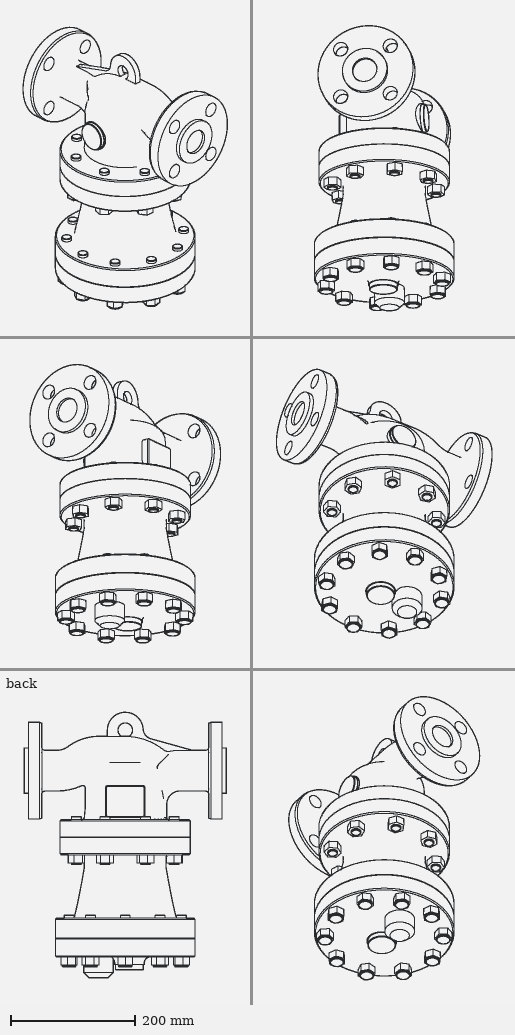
import cadquery as cq
import math


QUARTER_ARC_INSET = 1 - math.sqrt(0.5)

FACE_TO_FACE = 325.0
PIPE_DIAMETER = 66.0
PIPE_FLANGE_DIAMETER = 156.0
PIPE_FLANGE_THICKNESS = 21.7
PIPE_FLANGE_EDGE_LENGTH = 4.0
PIPE_FLANGE_EDGE_DEPTH = 1.5
RAISED_FACE_DIAMETER = 73.0
RAISED_FACE_HEIGHT = 6.8
PORT_DIAMETER = 40.0
PORT_DEPTH = 5.0
HUB_FILLET = 5.0
PIPE_BOLT_HOLE = 23.0
PIPE_BOLT_CIRCLE = 115.0
PIPE_BOLT_COUNT = 4
PIPE_BOLT_START = 45.0
PIPE_RADIUS = PIPE_DIAMETER / 2
HALF_LENGTH = FACE_TO_FACE / 2
FLANGE_FRONT_X = HALF_LENGTH - RAISED_FACE_HEIGHT
FLANGE_BACK_X = FLANGE_FRONT_X - PIPE_FLANGE_THICKNESS

ELBOW_START_X = -87.5
ELBOW_RADIUS = 53.5

BRIDGE_HEIGHT = 22.5
BRIDGE_RADIUS = 66.0
BRIDGE_ANGLE = 45.0
BRIDGE_STRAIGHT_END_X = 41.5
OUTLET_STRAIGHT_X = 109.5
OUTLET_BEND_RADIUS = 62.0

UPPER_FLANGE_TOP = -78.6
COVER_RADIUS = 64.4
COVER_EMBEDDING = 10.0
DOME_RADIUS = 20.5
DOME_TOP = 13.0
COVER_CYLINDER_BOTTOM = -58.0
NECK_DIAMETER = 132.0
ROOT_FILLET_HEIGHT = 3.0
ROOT_FILLET_WIDTH = 5.0
DOME_PIPE_FILLET = 4.0
ELBOW_BRIDGE_FILLET = 12.0
SELECTION_MARGIN = 0.1

UPPER_FLANGE_DIAMETER = 210.0
UPPER_FLANGE_BOTTOM = -135.5
UPPER_JOINT_Z = -107.0
UPPER_GASKET_DIAMETER = 150.0
UPPER_JOINT_GAP = 0.6
UPPER_BOLT_CIRCLE = 170.0
UPPER_BOLT_COUNT = 8
UPPER_BOLT_START = 22.5
UPPER_NUT_TURN = -7.5
LOWER_FLANGE_DIAMETER = 225.0
LOWER_FLANGE_TOP = -237.2
LOWER_FLANGE_BOTTOM = -299.6
LOWER_JOINT_Z = -269.8
LOWER_GASKET_DIAMETER = 162.5
LOWER_JOINT_GAP = 1.2
LOWER_BOLT_CIRCLE = 190.0
LOWER_BOLT_COUNT = 10
LOWER_BOLT_START = 90.0
BODY_FLANGE_EDGE = 2.0
BOLT_DIAMETER = 16.0
BOLT_END_ABOVE = 5.0
BOLT_END_BELOW = 15.5
BOLT_END_CHAMFER = 1.0
NUT_CORNER_DIAMETER = 27.7
NUT_FACE_DIAMETER = 22.2
NUT_HEIGHT = 13.0
LOWER_NUT_CHAMFER = 2.7

HOUSING_CYLINDER_BOTTOM = -156.0
HOUSING_CURVE_BOTTOM = -216.0
HOUSING_CURVE_RADIUS = 77.4
HOUSING_CURVE_SAG = 0.3
HOUSING_FOOT_DIAMETER = 162.5

PLUG_BOSS_DIAMETER = 48.0
PLUG_DIAMETER = 45.0
PLUG_CHAMFER = 1.0
SIDE_PLUG_X = -5.5
SIDE_PLUG_Z = -30.8
SIDE_BOSS_Y = -64.5
SIDE_PLUG_Y = -70.5
REAR_PAD_WIDTH = 64.0
REAR_PAD_TOP = -24.0
REAR_PAD_BOTTOM = -75.0
REAR_PAD_Y = 68.0
REAR_PAD_CORNER = 4.0
REAR_PAD_CHAMFER = 1.5

BOTTOM_PLUG_X = -6.8
BOTTOM_BOSS_Z = -312.0
BOTTOM_PLUG_Z = -320.5
BOTTOM_BOSS_FILLET = 9.5
DRAIN_X = 43.0
DRAIN_DIAMETER = 48.0
DRAIN_BOTTOM = -332.96
DRAIN_CHAMFER = 8.5

LUG_THICKNESS = 10.0
LUG_RADIUS = 29.0
LUG_HOLE_DIAMETER = 23.0
LUG_HOLE_Z = 65.0
LUG_START_X = -107.5
LUG_SLOPE = 15.5
LUG_CONCAVE_RADIUS = 17.0


def disc(diameter, bottom, top):
    """Upright cylinder on the body axis."""
    return cq.Workplane("XY").workplane(offset=bottom).circle(diameter / 2).extrude(top - bottom)


def pipe_flange():
    """Flange at the +X end with raised face, blind port, bolt holes and filleted hub."""
    hub_x = FLANGE_BACK_X - HUB_FILLET
    hub_middle = HUB_FILLET * QUARTER_ARC_INSET
    rim = PIPE_FLANGE_DIAMETER / 2
    face = RAISED_FACE_DIAMETER / 2
    port = PORT_DIAMETER / 2
    flange = (
        cq.Workplane("XY")
        .moveTo(hub_x, 0)
        .lineTo(hub_x, PIPE_RADIUS)
        .threePointArc(
            (FLANGE_BACK_X - hub_middle, PIPE_RADIUS + hub_middle),
            (FLANGE_BACK_X, PIPE_RADIUS + HUB_FILLET),
        )
        .lineTo(FLANGE_BACK_X, rim - PIPE_FLANGE_EDGE_DEPTH)
        .lineTo(FLANGE_BACK_X + PIPE_FLANGE_EDGE_LENGTH, rim)
        .lineTo(FLANGE_FRONT_X, rim)
        .lineTo(FLANGE_FRONT_X, face)
        .lineTo(HALF_LENGTH, face)
        .lineTo(HALF_LENGTH, port)
        .lineTo(HALF_LENGTH - PORT_DEPTH, port)
        .lineTo(HALF_LENGTH - PORT_DEPTH, 0)
        .close()
        .revolve(360, (0, 0, 0), (1, 0, 0))
    )
    holes = (
        cq.Workplane("YZ")
        .workplane(offset=FLANGE_BACK_X)
        .polarArray(PIPE_BOLT_CIRCLE / 2, PIPE_BOLT_START, 360, PIPE_BOLT_COUNT)
        .circle(PIPE_BOLT_HOLE / 2)
        .extrude(PIPE_FLANGE_THICKNESS)
    )
    return flange.cut(holes)


def inlet():
    """Straight inlet pipe and the elbow turning down into the cover."""
    pipe_start_x = -FLANGE_BACK_X - HUB_FILLET
    turn = ELBOW_RADIUS * math.sqrt(0.5)
    path = (
        cq.Workplane("XZ")
        .moveTo(pipe_start_x, 0)
        .lineTo(ELBOW_START_X, 0)
        .threePointArc(
            (ELBOW_START_X + turn, turn - ELBOW_RADIUS),
            (ELBOW_START_X + ELBOW_RADIUS, -ELBOW_RADIUS),
        )
        .lineTo(ELBOW_START_X + ELBOW_RADIUS, UPPER_FLANGE_TOP - COVER_EMBEDDING / 2)
    )
    return cq.Workplane("YZ").workplane(offset=pipe_start_x).circle(PIPE_RADIUS).sweep(path)


def outlet():
    """Outlet pipe: S-bend up from the outlet axis, then over the dome and down into the inlet elbow."""
    pipe_end_x = FLANGE_BACK_X + HUB_FILLET
    run = OUTLET_STRAIGHT_X - BRIDGE_STRAIGHT_END_X
    bend_angle = 2 * math.atan2(BRIDGE_HEIGHT, run)
    upper_radius = run / math.sin(bend_angle) - OUTLET_BEND_RADIUS
    bend_end = (
        OUTLET_STRAIGHT_X - OUTLET_BEND_RADIUS * math.sin(bend_angle),
        OUTLET_BEND_RADIUS * (1 - math.cos(bend_angle)),
    )
    half_sine = math.sin(bend_angle / 2)
    half_rise = 1 - math.cos(bend_angle / 2)
    lower_middle = (OUTLET_STRAIGHT_X - OUTLET_BEND_RADIUS * half_sine, OUTLET_BEND_RADIUS * half_rise)
    upper_middle = (
        BRIDGE_STRAIGHT_END_X + upper_radius * half_sine,
        BRIDGE_HEIGHT - upper_radius * half_rise,
    )
    end = math.radians(BRIDGE_ANGLE)

    def bridge_point(angle):
        return (
            -BRIDGE_RADIUS * math.sin(angle),
            BRIDGE_HEIGHT - BRIDGE_RADIUS * (1 - math.cos(angle)),
        )

    path = (
        cq.Workplane("XZ")
        .moveTo(pipe_end_x, 0)
        .lineTo(OUTLET_STRAIGHT_X, 0)
        .threePointArc(lower_middle, bend_end)
        .threePointArc(upper_middle, (BRIDGE_STRAIGHT_END_X, BRIDGE_HEIGHT))
        .lineTo(0, BRIDGE_HEIGHT)
        .threePointArc(bridge_point(end / 2), bridge_point(end))
    )
    return cq.Workplane("YZ").workplane(offset=pipe_end_x).circle(PIPE_RADIUS).sweep(path)


def cover():
    """Domed cover with a flaring foot."""
    neck = NECK_DIAMETER / 2
    root_top = UPPER_FLANGE_TOP + ROOT_FILLET_HEIGHT
    dome_turn = DOME_RADIUS * math.sqrt(0.5)
    shoulder_z = DOME_TOP - DOME_RADIUS
    return (
        cq.Workplane("XZ")
        .moveTo(0, UPPER_FLANGE_TOP - COVER_EMBEDDING)
        .lineTo(neck + ROOT_FILLET_WIDTH, UPPER_FLANGE_TOP - COVER_EMBEDDING)
        .lineTo(neck + ROOT_FILLET_WIDTH, UPPER_FLANGE_TOP)
        .threePointArc(
            (
                neck + ROOT_FILLET_WIDTH * QUARTER_ARC_INSET,
                UPPER_FLANGE_TOP + ROOT_FILLET_HEIGHT * QUARTER_ARC_INSET,
            ),
            (neck, root_top),
        )
        .lineTo(COVER_RADIUS, COVER_CYLINDER_BOTTOM)
        .lineTo(COVER_RADIUS, shoulder_z)
        .threePointArc(
            (COVER_RADIUS - DOME_RADIUS + dome_turn, shoulder_z + dome_turn),
            (COVER_RADIUS - DOME_RADIUS, DOME_TOP),
        )
        .lineTo(0, DOME_TOP)
        .close()
        .revolve()
    )


def blended_head():
    """Cover joined to the pipe line, with fillets where the pipes meet each other and the dome."""
    pipes = inlet().union(outlet())
    crease_left_x = ELBOW_START_X + ELBOW_RADIUS - PIPE_DIAMETER
    crease = cq.selectors.BoxSelector(
        (crease_left_x, -PIPE_RADIUS, BRIDGE_HEIGHT),
        (-PIPE_RADIUS, PIPE_RADIUS, PIPE_RADIUS),
    )
    pipes = pipes.edges("%BSPLINE").edges(crease).fillet(ELBOW_BRIDGE_FILLET)
    head = cover().union(pipes)
    dome_seam = cq.selectors.BoxSelector(
        (-COVER_RADIUS, -COVER_RADIUS, DOME_TOP - DOME_RADIUS),
        (COVER_RADIUS, COVER_RADIUS, DOME_TOP + SELECTION_MARGIN),
    )
    return head.edges("not %CIRCLE").edges(dome_seam).fillet(DOME_PIPE_FILLET)


def housing():
    """Flared housing between the upper and lower flanged joints."""
    neck = NECK_DIAMETER / 2
    foot = HOUSING_FOOT_DIAMETER / 2
    top_root = UPPER_FLANGE_BOTTOM - ROOT_FILLET_WIDTH
    foot_root = LOWER_FLANGE_TOP + ROOT_FILLET_WIDTH
    blend = ROOT_FILLET_WIDTH * QUARTER_ARC_INSET
    return (
        cq.Workplane("XZ")
        .moveTo(0, UPPER_FLANGE_BOTTOM)
        .lineTo(neck + ROOT_FILLET_WIDTH, UPPER_FLANGE_BOTTOM)
        .threePointArc((neck + blend, UPPER_FLANGE_BOTTOM - blend), (neck, top_root))
        .lineTo(neck, HOUSING_CYLINDER_BOTTOM)
        .threePointArc(
            (
                (neck + HOUSING_CURVE_RADIUS) / 2 - HOUSING_CURVE_SAG,
                (HOUSING_CYLINDER_BOTTOM + HOUSING_CURVE_BOTTOM) / 2,
            ),
            (HOUSING_CURVE_RADIUS, HOUSING_CURVE_BOTTOM),
        )
        .lineTo(foot, foot_root)
        .threePointArc(
            (foot + blend, LOWER_FLANGE_TOP + blend),
            (foot + ROOT_FILLET_WIDTH, LOWER_FLANGE_TOP),
        )
        .lineTo(0, LOWER_FLANGE_TOP)
        .close()
        .revolve()
    )


def flanged_joint(diameter, bottom, top, joint_z, gap, gasket_diameter):
    """Pair of body flanges held slightly apart by a smaller gasket."""
    lower = disc(diameter, bottom, joint_z - gap / 2).faces("<Z").edges().chamfer(BODY_FLANGE_EDGE)
    upper = disc(diameter, joint_z + gap / 2, top).faces(">Z").edges().chamfer(BODY_FLANGE_EDGE)
    gasket = disc(gasket_diameter, joint_z - gap / 2, joint_z + gap / 2)
    return lower.union(gasket).union(upper)


def plain_fastener(flange_bottom, flange_top, nut_turn=0.0):
    """Stud with a plain hexagon nut below the flange."""
    stud_bottom = flange_bottom - BOLT_END_BELOW
    stud = disc(BOLT_DIAMETER, stud_bottom, flange_top + BOLT_END_ABOVE)
    stud = stud.faces("|Z").edges().chamfer(BOLT_END_CHAMFER)
    nut = (
        cq.Workplane("XY")
        .workplane(offset=flange_bottom - NUT_HEIGHT)
        .polygon(6, NUT_CORNER_DIAMETER)
        .extrude(NUT_HEIGHT)
        .rotate((0, 0, 0), (0, 0, 1), nut_turn)
    )
    return stud.union(nut)


def bevelled_fastener(flange_bottom, flange_top):
    """Stud with a hexagon nut ending in a conical bevel."""
    bevel_top = flange_bottom - NUT_HEIGHT
    fastener = plain_fastener(flange_bottom, flange_top)
    bevel = (
        cq.Workplane("XY")
        .workplane(offset=bevel_top)
        .circle(NUT_FACE_DIAMETER / 2)
        .extrude(-LOWER_NUT_CHAMFER)
        .faces("<Z")
        .edges()
        .chamfer(BOLT_END_CHAMFER)
    )
    return fastener.union(bevel)


def bolt_ring(fastener, circle_diameter, count, start_angle):
    """Copies of a fastener around the body axis, all turned alike about the axis."""
    ring = cq.Workplane("XY")
    for index in range(count):
        angle = start_angle + index * 360 / count
        moved = fastener.translate((circle_diameter / 2, 0, 0)).rotate((0, 0, 0), (0, 0, 1), angle)
        ring = ring.add(moved)
    return ring.combine()


def side_plug():
    """Plugged boss on the -Y side of the cover."""
    boss = (
        cq.Workplane("XZ", origin=(SIDE_PLUG_X, 0, SIDE_PLUG_Z))
        .circle(PLUG_BOSS_DIAMETER / 2)
        .extrude(-SIDE_BOSS_Y)
    )
    plug = (
        cq.Workplane("XZ", origin=(SIDE_PLUG_X, 0, SIDE_PLUG_Z))
        .circle(PLUG_DIAMETER / 2)
        .extrude(-SIDE_PLUG_Y)
        .faces("<Y")
        .edges()
        .chamfer(PLUG_CHAMFER)
    )
    return boss.union(plug)


def rear_pad():
    """Rectangular flat-faced pad on the +Y side of the cover."""
    height = REAR_PAD_TOP - REAR_PAD_BOTTOM
    return (
        cq.Workplane("XZ", origin=(0, 0, REAR_PAD_BOTTOM + height / 2))
        .rect(REAR_PAD_WIDTH, height)
        .extrude(-REAR_PAD_Y)
        .edges("|Y")
        .fillet(REAR_PAD_CORNER)
        .faces(">Y")
        .edges()
        .chamfer(REAR_PAD_CHAMFER)
    )


def bottom_plug():
    """Plugged boss flaring into the underside of the lower flange."""
    boss = PLUG_BOSS_DIAMETER / 2
    plug = PLUG_DIAMETER / 2
    blend = BOTTOM_BOSS_FILLET * QUARTER_ARC_INSET
    profile = (
        cq.Workplane("XZ")
        .moveTo(0, LOWER_FLANGE_BOTTOM)
        .lineTo(boss + BOTTOM_BOSS_FILLET, LOWER_FLANGE_BOTTOM)
        .threePointArc(
            (boss + blend, LOWER_FLANGE_BOTTOM - blend),
            (boss, LOWER_FLANGE_BOTTOM - BOTTOM_BOSS_FILLET),
        )
        .lineTo(boss, BOTTOM_BOSS_Z)
        .lineTo(plug, BOTTOM_BOSS_Z)
        .lineTo(plug, BOTTOM_PLUG_Z + PLUG_CHAMFER)
        .lineTo(plug - PLUG_CHAMFER, BOTTOM_PLUG_Z)
        .lineTo(0, BOTTOM_PLUG_Z)
        .close()
        .revolve()
    )
    return profile.translate((BOTTOM_PLUG_X, 0, 0))


def drain():
    """Drain connection with a bevelled end."""
    body = disc(DRAIN_DIAMETER, DRAIN_BOTTOM, LOWER_FLANGE_BOTTOM)
    return body.faces("<Z").edges().chamfer(DRAIN_CHAMFER).translate((DRAIN_X, 0, 0))


def lifting_lug():
    """Upright eye plate on the pipe, its back sloping down to the inlet."""
    slope = math.radians(LUG_SLOPE)
    along = (math.cos(slope), math.sin(slope))
    normal = (-math.sin(slope), math.cos(slope))
    eye_u = -LUG_START_X * along[0] + (LUG_HOLE_Z - PIPE_RADIUS) * along[1]
    eye_v = -LUG_START_X * normal[0] + (LUG_HOLE_Z - PIPE_RADIUS) * normal[1]
    centre_gap = LUG_RADIUS + LUG_CONCAVE_RADIUS
    centre_u = eye_u - math.sqrt(centre_gap**2 - (eye_v - LUG_CONCAVE_RADIUS) ** 2)

    def place(u, v):
        return (
            LUG_START_X + u * along[0] + v * normal[0],
            PIPE_RADIUS + u * along[1] + v * normal[1],
        )

    centre = place(centre_u, LUG_CONCAVE_RADIUS)
    eye_angle = math.atan2(LUG_HOLE_Z - centre[1], -centre[0])
    middle_angle = (slope - math.pi / 2 + eye_angle) / 2

    def concave_point(angle):
        return (
            centre[0] + LUG_CONCAVE_RADIUS * math.cos(angle),
            centre[1] + LUG_CONCAVE_RADIUS * math.sin(angle),
        )

    plate = (
        cq.Workplane("XZ")
        .moveTo(LUG_START_X, 0)
        .lineTo(LUG_START_X, PIPE_RADIUS)
        .lineTo(*place(centre_u, 0))
        .threePointArc(concave_point(middle_angle), concave_point(eye_angle))
        .threePointArc((0, LUG_HOLE_Z + LUG_RADIUS), (LUG_RADIUS, LUG_HOLE_Z))
        .lineTo(LUG_RADIUS, BRIDGE_HEIGHT)
        .lineTo(0, 0)
        .close()
        .extrude(LUG_THICKNESS / 2, both=True)
    )
    hole = (
        cq.Workplane("XZ", origin=(0, 0, LUG_HOLE_Z))
        .circle(LUG_HOLE_DIAMETER / 2)
        .extrude(LUG_THICKNESS, both=True)
    )
    return plate.cut(hole)


upper_joint = flanged_joint(
    UPPER_FLANGE_DIAMETER,
    UPPER_FLANGE_BOTTOM,
    UPPER_FLANGE_TOP,
    UPPER_JOINT_Z,
    UPPER_JOINT_GAP,
    UPPER_GASKET_DIAMETER,
)
lower_joint = flanged_joint(
    LOWER_FLANGE_DIAMETER,
    LOWER_FLANGE_BOTTOM,
    LOWER_FLANGE_TOP,
    LOWER_JOINT_Z,
    LOWER_JOINT_GAP,
    LOWER_GASKET_DIAMETER,
)
upper_bolts = bolt_ring(
    plain_fastener(UPPER_FLANGE_BOTTOM, UPPER_FLANGE_TOP, UPPER_NUT_TURN),
    UPPER_BOLT_CIRCLE,
    UPPER_BOLT_COUNT,
    UPPER_BOLT_START,
)
lower_bolts = bolt_ring(
    bevelled_fastener(LOWER_FLANGE_BOTTOM, LOWER_FLANGE_TOP),
    LOWER_BOLT_CIRCLE,
    LOWER_BOLT_COUNT,
    LOWER_BOLT_START,
)
outlet_flange = pipe_flange()
inlet_flange = outlet_flange.mirror("YZ")

result = upper_joint.union(housing()).union(lower_joint)
result = result.union(bottom_plug()).union(drain())
result = result.union(upper_bolts).union(lower_bolts)

head = blended_head()
for section in (lifting_lug(), side_plug(), rear_pad(), inlet_flange, outlet_flange):
    head = head.union(section)

result = result.union(head)